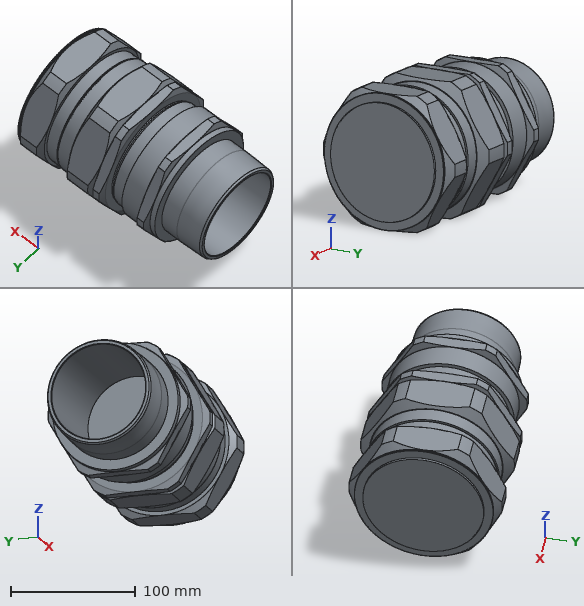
import cadquery as cq
import math

tip_chamfer_end = 1.9
taper_end = 25.7
flange_start = 42.0
entry_hex_start = 47.0
entry_hex_end = 57.2
entry_barrel_end = 77.5
neck_chamfer_start = 89.1
neck_end = 90.8
lock_hex_start = 92.1
body_hex_start = 102.0
body_hex_end = 133.5
body_collar_end = 146.0
cap_collar_start = 147.5
cap_hex_start = 158.2
cap_hex_end = 184.6
cap_lip_start = 185.5
cap_lip_end = 186.7
overall_length = 188.8

tip_radius = 42.9
taper_small_radius = 44.0
thread_radius = 44.7
barrel_radius = 53.2
neck_radius = 50.0
neck_groove_radius = 49.0
body_collar_radius = 54.2
collar_groove_radius = 52.5
cap_collar_radius = 53.6
cap_lip_radius = 56.8
cap_lip_groove_radius = 56.6
seal_radius = 49.5

entry_across_flats = 107.2
entry_corner_radius = 59.3
nut_across_flats = 113.7
nut_corner_radius = 62.7
body_across_flats = 114.2
body_corner_radius = 62.9

thin_cone_length = 1.5
thick_cone_length = 3.8
body_rear_cone_length = 5.5
body_rear_radius = 54.8
cap_front_cone_length = 3.2
cap_rear_cone_length = 5.9

bore_radius = 39.8
bore_mouth_radius = 40.4
bore_mouth_depth = 0.5
bore_depth = neck_end


def revolve_about_x(outline):
    """Turn an outline of (x, radius) points about the X axis."""
    return cq.Workplane("XY").polyline(outline).close().revolve(360, (0, 0, 0), (1, 0, 0))


def round_section(start, end, start_radius, end_radius=None):
    """Cylinder, or a cone if a second radius is given."""
    if end_radius is None:
        end_radius = start_radius
    return revolve_about_x([(start, 0), (start, start_radius), (end, end_radius), (end, 0)])


def hexagon(start, end, across_flats, corner_radius, front_cone, rear_cone, rear_radius=None):
    """Hexagon with flats facing +Z and -Z, rounded corners and a cone at each end."""
    flat_radius = across_flats / 2
    if rear_radius is None:
        rear_radius = flat_radius
    across_corners = across_flats / math.cos(math.pi / 6)
    prism = cq.Workplane("YZ").workplane(offset=start).polygon(6, across_corners).extrude(end - start)
    envelope = revolve_about_x([
        (start, 0),
        (start, flat_radius),
        (start + front_cone, corner_radius),
        (end - rear_cone, corner_radius),
        (end, rear_radius),
        (end, 0),
    ])
    return prism.intersect(envelope)


round_sections = [
    round_section(0, tip_chamfer_end, tip_radius, taper_small_radius),
    round_section(tip_chamfer_end, taper_end, taper_small_radius, thread_radius),
    round_section(taper_end, flange_start, thread_radius),
    round_section(flange_start, entry_hex_start, barrel_radius),
    round_section(entry_hex_end, entry_barrel_end, barrel_radius),
    round_section(entry_barrel_end, neck_chamfer_start, neck_radius),
    round_section(neck_chamfer_start, neck_end, neck_radius, neck_groove_radius),
    round_section(neck_end, lock_hex_start, neck_groove_radius),
    round_section(body_hex_end, body_collar_end, body_collar_radius),
    round_section(body_collar_end, cap_collar_start, collar_groove_radius),
    round_section(cap_collar_start, cap_hex_start, cap_collar_radius),
    round_section(cap_hex_end, cap_lip_start, cap_lip_groove_radius),
    round_section(cap_lip_start, cap_lip_end, cap_lip_radius),
    round_section(cap_lip_end, overall_length, seal_radius),
]

hexagons = [
    hexagon(entry_hex_start, entry_hex_end, entry_across_flats, entry_corner_radius,
            thin_cone_length, thin_cone_length),
    hexagon(lock_hex_start, body_hex_start, nut_across_flats, nut_corner_radius,
            thin_cone_length, thin_cone_length),
    hexagon(body_hex_start, body_hex_end, body_across_flats, body_corner_radius,
            thick_cone_length, body_rear_cone_length, body_rear_radius),
    hexagon(cap_hex_start, cap_hex_end, nut_across_flats, nut_corner_radius,
            cap_front_cone_length, cap_rear_cone_length),
]

bore = revolve_about_x([
    (0, 0),
    (0, bore_mouth_radius),
    (bore_mouth_depth, bore_radius),
    (bore_depth, bore_radius),
    (bore_depth, 0),
])

gland = round_sections[0]
for section in round_sections[1:] + hexagons:
    gland = gland.union(section)

result = gland.cut(bore)